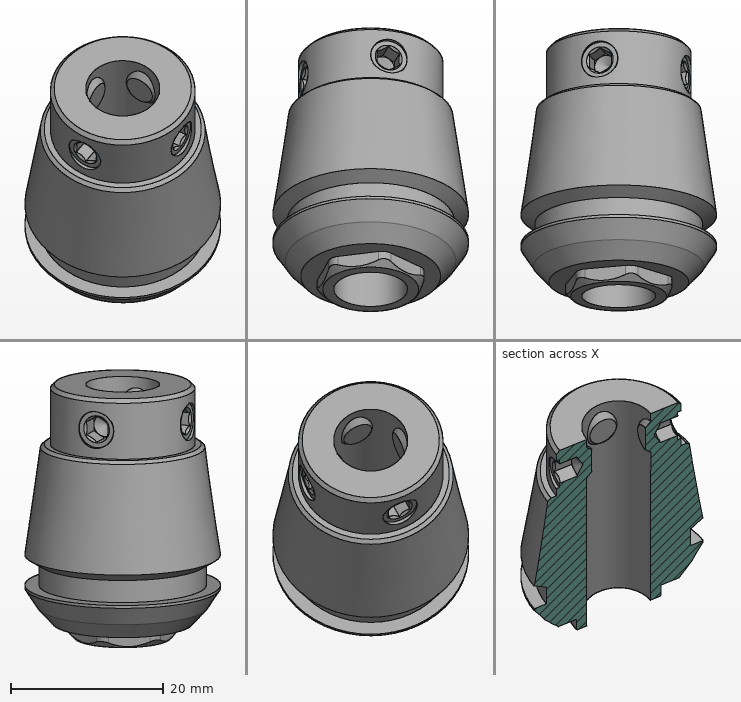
import cadquery as cq
import math

total_height = 34.0
head_bottom = 1.97
head_break = 4.15
lip_bottom = 6.7
lip_top = 7.07
neck_top = 10.03
sleeve_bottom = 11.15
shoulder_chamfer_bottom = 25.57
shoulder = 25.98

outer_radius = 25.7 / 2
neck_radius = 22.0 / 2
collar_radius = 19.0 / 2
bore_radius = 9.7 / 2
head_bottom_radius = 9.18
head_break_radius = 11.2
sleeve_top_radius = 10.8
shoulder_radius = 10.3
collar_chamfer = 0.5

hex_across_flats = 12.92
hex_corner_fillet = 1.7
hex_end_radius = 6.3

screw_count = 4
screw_height = 29.75
screw_radius = 4.93 / 2
screw_tip_distance = 4.05
screw_tip_radius = 2.0
screw_tip_overlap = 0.35
screw_face_distance = 9.0
socket_across_flats = 3.0
socket_depth = 2.72
socket_cone_angle = 120.0
socket_mouth_radius = 3.65 / 2


def across_corners(across_flats):
    return across_flats / math.cos(math.radians(30))


def turned_body():
    """Head, neck, tapered sleeve and collar as one revolved half-profile."""
    profile = [
        (0, head_bottom),
        (head_bottom_radius, head_bottom),
        (head_break_radius, head_break),
        (outer_radius, lip_bottom),
        (outer_radius, lip_top),
        (neck_radius, lip_top),
        (neck_radius, neck_top),
        (outer_radius, sleeve_bottom),
        (sleeve_top_radius, shoulder_chamfer_bottom),
        (shoulder_radius, shoulder),
        (collar_radius, shoulder),
        (collar_radius, total_height - collar_chamfer),
        (collar_radius - collar_chamfer, total_height),
        (0, total_height),
    ]
    return cq.Workplane("XZ").polyline(profile).close().revolve(360, (0, 0, 0), (0, 1, 0))


def drive_hexagon():
    """Hexagon with rounded corners, its end trimmed by a 45 degree cone."""
    prism = (
        cq.Workplane("XY")
        .polygon(6, across_corners(hex_across_flats))
        .extrude(head_bottom)
        .edges("|Z")
        .fillet(hex_corner_fillet)
    )
    trimming_cone = cq.Workplane("XY").add(
        cq.Solid.makeCone(hex_end_radius, hex_end_radius + head_bottom, head_bottom)
    )
    return prism.intersect(trimming_cone)


def screw_pocket():
    """Recess from the collar wall down to the screw face, along +X."""
    depth = collar_radius - screw_face_distance
    return cq.Workplane("YZ", origin=(screw_face_distance, 0, 0)).circle(screw_radius).extrude(depth)


def screw_tip():
    """Flat tip with a 45 degree bevel, along +X, rooted in the bore wall."""
    length = bore_radius + screw_tip_overlap - screw_tip_distance
    return cq.Workplane("XY").add(
        cq.Solid.makeCone(
            screw_tip_radius,
            screw_tip_radius + length,
            length,
            cq.Vector(screw_tip_distance, 0, 0),
            cq.Vector(1, 0, 0),
        )
    )


def screw_socket():
    """Hexagon socket with a bevelled mouth and a conical floor."""
    floor = screw_face_distance - socket_depth
    inscribed_radius = socket_across_flats / 2
    cone_height = inscribed_radius / math.tan(math.radians(socket_cone_angle / 2))
    mouth_depth = socket_mouth_radius - inscribed_radius
    inward = cq.Vector(-1, 0, 0)
    hexagon = (
        cq.Workplane("YZ", origin=(floor, 0, 0))
        .transformed(rotate=(0, 0, 90))
        .polygon(6, across_corners(socket_across_flats))
        .extrude(socket_depth)
    )
    drill_tip = cq.Solid.makeCone(inscribed_radius, 0, cone_height, cq.Vector(floor, 0, 0), inward)
    mouth = cq.Solid.makeCone(
        socket_mouth_radius, inscribed_radius, mouth_depth, cq.Vector(screw_face_distance, 0, 0), inward
    )
    return hexagon.union(cq.Workplane(drill_tip)).union(cq.Workplane(mouth))


def place_on_collar(shape, index):
    angle = index * 360 / screw_count
    return shape.translate((0, 0, screw_height)).rotate((0, 0, 0), (0, 0, 1), angle)


bore = cq.Workplane("XY").circle(bore_radius).extrude(total_height)
result = turned_body().union(drive_hexagon()).cut(bore)
for index in range(screw_count):
    result = result.cut(place_on_collar(screw_pocket(), index))
    result = result.union(place_on_collar(screw_tip(), index))
    result = result.cut(place_on_collar(screw_socket(), index))